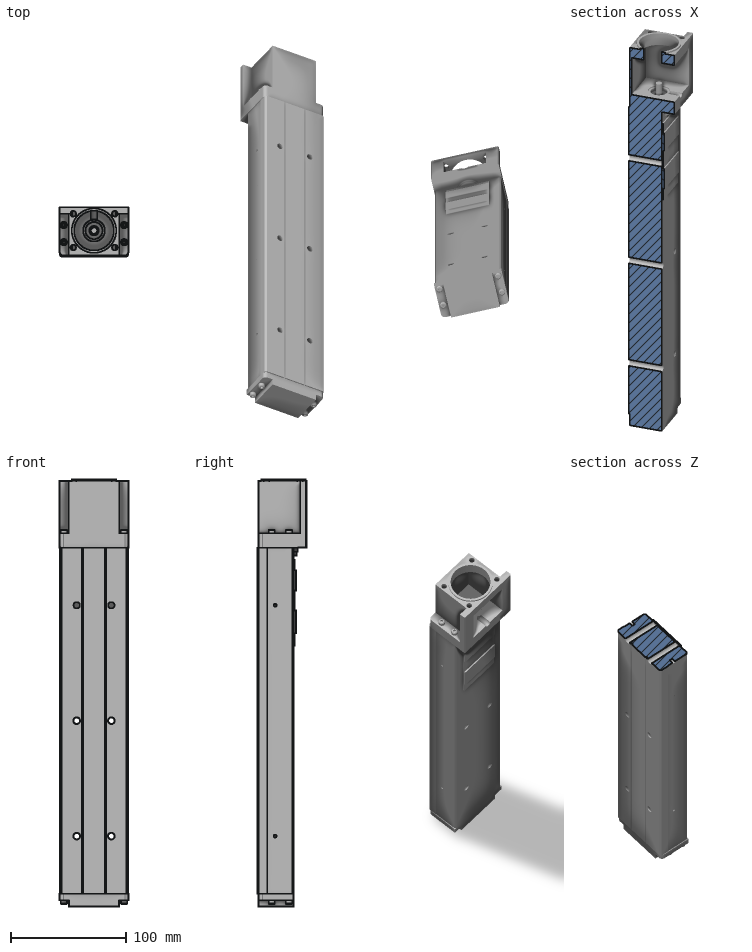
import cadquery as cq

WIDTH = 60.0
DEPTH = 43.0
LENGTH = 371.0

END_CAP_TOP = 11.0
RAIL_TOP = 311.5
FLANGE_TOP = 324.0
PILOT_HEIGHT = 1.5
HOUSING_TOP = LENGTH - PILOT_HEIGHT

RAIL_WIDTH = 59.5
RAIL_BACK = 31.5
RAIL_STEP_Y = 9.0
RAIL_STEP_INSET = 0.5
RAIL_FRONT_CHAMFER = 1.5
RAIL_BACK_CHAMFER = 1.0
FRONT_GROOVE_X = 10.0
FRONT_GROOVE_WIDTH = 1.0
FRONT_GROOVE_DEPTH = 1.0
HOLE_PITCH = 100.0
FIRST_HOLE_Z = 61.2
MOUNT_HOLE_COUNT = 3
MOUNT_HOLE_X = 15.03
MOUNT_HOLE_DIAMETER = 5.5
SIDE_HOLE_Y = 15.5
SIDE_HOLE_DIAMETER = 2.45
SIDE_HOLE_DEPTH = 3.7

CAP_FRONT = 1.0
CAP_CORNER_RADIUS = 3.5
CORE_WIDTH = 43.5
SCREW_X = 26.15
SCREW_HEAD_DIAMETER = 5.5
SCREW_HEAD_HEIGHT = 3.5
SCREW_HEAD_CHAMFER = 0.7
SCREW_SOCKET_WIDTH = 2.2
SCREW_SOCKET_DEPTH = 2.0
HEX_SIDES = 6
SCREW_YS = (12.5, 27.5)
END_CAP_LEDGE = 5.5

BACK_PLATE_FRONT = 37.5
BACK_EDGE_CHAMFER = 0.7
MOTOR_AXIS_Y = 22.5
PILOT_DIAMETER = 38.5
MOTOR_BORE_DIAMETER = 34.5
MOTOR_PLATE_THICKNESS = 10.0
CAVITY_WIDTH = 38.0
CAVITY_FRONT = 3.5
CORNER_HOLE_OFFSET = 18.0
CORNER_HOLE_Y_OFFSET = 14.65
CORNER_HOLE_DIAMETER = 5.0

BEARING_SEAT_DIAMETER = 19.0
BEARING_SEAT_DEPTH = 0.7
BEARING_BORE_DIAMETER = 15.0
BEARING_BORE_DEPTH = 3.7
SHAFT_CLEARANCE_DIAMETER = 8.0
SHAFT_DIAMETER = 5.5
CLEARANCE_DEPTH = 7.5
SHAFT_STICKOUT = 7.5
FLOOR_GROOVE_DIAMETER = 5.5
FLOOR_GROOVE_FRONT = 32.5
FLOOR_GROOVE_TIP = 3.0

RETAINER_DIAMETER = 25.2
RETAINER_HEIGHT = 3.7
RETAINER_LIP_DIAMETER = 23.7
RETAINER_LIP_HEIGHT = 7.0

CARRIAGE_WIDTH = 38.5
CARRIAGE_BOTTOM = 226.3
CARRIAGE_TOP = 301.0
CARRIAGE_BACK = 32.5
PAD_BACK = 33.8
PAD_SPANS = ((237.0, 257.0), (274.0, 292.0))


def block(width, y_front, y_back, z_bottom, z_top):
    """Box centred on X."""
    return (
        cq.Workplane("XY", origin=(0, (y_front + y_back) / 2, z_bottom))
        .box(width, y_back - y_front, z_top - z_bottom, centered=(True, True, False))
    )


def column(diameter, z_bottom, z_top, x=0, y=MOTOR_AXIS_Y):
    """Cylinder along Z."""
    return cq.Workplane("XY", origin=(x, y, z_bottom)).circle(diameter / 2).extrude(z_top - z_bottom)


def rounded_cap(y_back, z_bottom, z_top):
    """Full-width block with its two front vertical edges rounded."""
    cap = block(WIDTH, CAP_FRONT, y_back, z_bottom, z_top)
    return cap.faces("<Y").edges("|Z").fillet(CAP_CORNER_RADIUS)


def cap_screws(seat_z, direction):
    """Four socket-head screws standing on a seat, heads pointing up (+1) or down (-1)."""
    points = [(x, y) for x in (-SCREW_X, SCREW_X) for y in SCREW_YS]
    heads = (
        cq.Workplane("XY", origin=(0, 0, seat_z))
        .pushPoints(points)
        .circle(SCREW_HEAD_DIAMETER / 2)
        .extrude(direction * SCREW_HEAD_HEIGHT)
        .faces(">Z" if direction > 0 else "<Z")
        .edges()
        .chamfer(SCREW_HEAD_CHAMFER)
    )
    sockets = (
        cq.Workplane("XY", origin=(0, 0, seat_z + direction * SCREW_HEAD_HEIGHT))
        .pushPoints(points)
        .polygon(HEX_SIDES, SCREW_SOCKET_WIDTH, circumscribed=True)
        .extrude(-direction * SCREW_SOCKET_DEPTH)
    )
    return heads.cut(sockets)


def make_rail():
    half_width = RAIL_WIDTH / 2
    upper_half_width = half_width - RAIL_STEP_INSET
    half_outline = [
        (half_width - RAIL_FRONT_CHAMFER, 0),
        (half_width, RAIL_FRONT_CHAMFER),
        (half_width, RAIL_STEP_Y),
        (upper_half_width, RAIL_STEP_Y),
        (upper_half_width, RAIL_BACK - RAIL_BACK_CHAMFER),
        (upper_half_width - RAIL_BACK_CHAMFER, RAIL_BACK),
    ]
    mirrored = [(-x, y) for x, y in reversed(half_outline)]
    rail = (
        cq.Workplane("XY", origin=(0, 0, END_CAP_TOP))
        .polyline(half_outline + mirrored)
        .close()
        .extrude(RAIL_TOP - END_CAP_TOP)
    )

    groove = block(FRONT_GROOVE_WIDTH, 0, FRONT_GROOVE_DEPTH, END_CAP_TOP, RAIL_TOP)
    for side in (-1, 1):
        rail = rail.cut(groove.translate((side * FRONT_GROOVE_X, 0, 0)))

    hole_heights = [FIRST_HOLE_Z + i * HOLE_PITCH for i in range(MOUNT_HOLE_COUNT)]
    mount_holes = (
        cq.Workplane("XZ")
        .pushPoints([(x, z) for x in (-MOUNT_HOLE_X, MOUNT_HOLE_X) for z in hole_heights])
        .circle(MOUNT_HOLE_DIAMETER / 2)
        .extrude(-RAIL_BACK)
    )
    side_holes = (
        cq.Workplane("YZ", origin=(-upper_half_width, 0, 0))
        .pushPoints([(SIDE_HOLE_Y, z) for z in (hole_heights[0], hole_heights[-1])])
        .circle(SIDE_HOLE_DIAMETER / 2)
        .extrude(SIDE_HOLE_DEPTH)
    )
    return rail.cut(mount_holes).cut(side_holes).cut(side_holes.mirror("YZ"))


def make_end_cap():
    plate = rounded_cap(RAIL_BACK, END_CAP_LEDGE, END_CAP_TOP)
    core = block(CORE_WIDTH, CAP_FRONT, RAIL_BACK, 0, END_CAP_LEDGE)
    return plate.union(core).union(cap_screws(END_CAP_LEDGE, -1))


def make_motor_housing():
    plate_bottom = HOUSING_TOP - MOTOR_PLATE_THICKNESS
    flange = rounded_cap(DEPTH, RAIL_TOP, FLANGE_TOP)
    core = block(CORE_WIDTH, CAP_FRONT, DEPTH, FLANGE_TOP, HOUSING_TOP)
    back_plate = block(WIDTH, BACK_PLATE_FRONT, DEPTH, FLANGE_TOP, HOUSING_TOP)
    housing = flange.union(core).union(back_plate).clean()
    housing = housing.faces(">Y").edges("|Z").chamfer(BACK_EDGE_CHAMFER)
    housing = housing.union(column(PILOT_DIAMETER, HOUSING_TOP, LENGTH))

    housing = housing.cut(block(CAVITY_WIDTH, CAVITY_FRONT, DEPTH, FLANGE_TOP, plate_bottom))
    housing = housing.cut(column(MOTOR_BORE_DIAMETER, plate_bottom, LENGTH))
    for x in (-CORNER_HOLE_OFFSET, CORNER_HOLE_OFFSET):
        for dy in (-CORNER_HOLE_Y_OFFSET, CORNER_HOLE_Y_OFFSET):
            hole = column(CORNER_HOLE_DIAMETER, plate_bottom, HOUSING_TOP, x, MOTOR_AXIS_Y + dy)
            housing = housing.cut(hole)

    for diameter, depth in (
        (BEARING_SEAT_DIAMETER, BEARING_SEAT_DEPTH),
        (BEARING_BORE_DIAMETER, BEARING_BORE_DEPTH),
        (SHAFT_CLEARANCE_DIAMETER, CLEARANCE_DEPTH),
    ):
        housing = housing.cut(column(diameter, FLANGE_TOP - depth, FLANGE_TOP))
    floor_groove = (
        cq.Workplane("XZ", origin=(0, FLOOR_GROOVE_FRONT, FLANGE_TOP))
        .circle(FLOOR_GROOVE_DIAMETER / 2)
        .extrude(FLOOR_GROOVE_FRONT - DEPTH)
    )
    groove_tip = cq.Workplane(
        cq.Solid.makeCone(
            FLOOR_GROOVE_DIAMETER / 2,
            0,
            FLOOR_GROOVE_TIP,
            pnt=cq.Vector(0, FLOOR_GROOVE_FRONT, FLANGE_TOP),
            dir=cq.Vector(0, -1, 0),
        )
    )
    housing = housing.cut(floor_groove).cut(groove_tip)
    shaft = column(SHAFT_DIAMETER, FLANGE_TOP - CLEARANCE_DEPTH, FLANGE_TOP + SHAFT_STICKOUT)
    housing = housing.union(shaft)
    return housing.union(cap_screws(FLANGE_TOP, 1))


def make_retainer():
    upper = column(RETAINER_DIAMETER, RAIL_TOP - RETAINER_HEIGHT, RAIL_TOP)
    lip = column(RETAINER_LIP_DIAMETER, RAIL_TOP - RETAINER_LIP_HEIGHT, RAIL_TOP)
    return upper.union(lip)


def make_frame():
    return make_rail().union(make_end_cap()).union(make_motor_housing()).union(make_retainer())


def make_carriage():
    """Flat table riding on the back of the rail, with two raised pads."""
    carriage = block(CARRIAGE_WIDTH, RAIL_BACK, CARRIAGE_BACK, CARRIAGE_BOTTOM, CARRIAGE_TOP)
    for z_bottom, z_top in PAD_SPANS:
        carriage = carriage.union(block(CARRIAGE_WIDTH, CARRIAGE_BACK, PAD_BACK, z_bottom, z_top))
    return carriage


frame = make_frame()
carriage = make_carriage()
result = cq.Compound.makeCompound([frame.val(), carriage.val()])